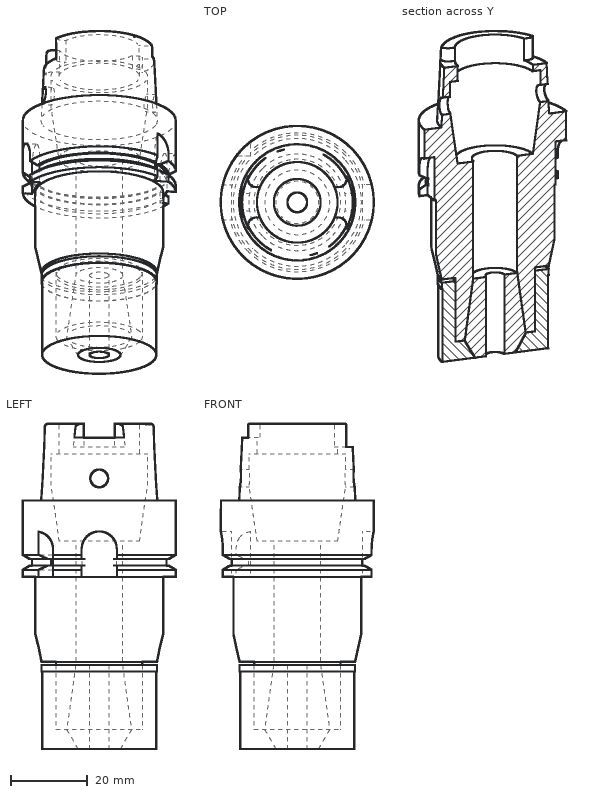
import cadquery as cq
import math


total_length = 85.0
flange_height = 20.0
shank_height = 20.1
flange_diameter = 40.0
flange_radius = flange_diameter / 2

shank_base_radius = 15.2
shank_tip_radius = shank_base_radius - shank_height / 20
tip_round = 0.85

flange_top = total_length - shank_height
flange_bottom = flange_top - flange_height

groove_floor_radius = 17.6
groove_cone_radius = 18.2
groove_floor_top = 49.6
groove_floor_bottom = 47.9
groove_cone_height = 1.1

body_radius = 16.75
body_bottom = 30.0
cone_end_radius = 15.1
cone_end = 22.8
neck_radius = 11.3
neck_bottom = 5.1

mouth_radius = 10.5
chamber_radius = 12.7
chamber_top = 77.1
chamber_bottom = 69.0
cavity_floor = 54.4

cross_hole_radius = 2.3
cross_hole_height = 70.7

notch_half_width = 4.0
notch_corner_radius = 1.95
notch_shoulder = 12.8
left_notch_depth = 3.65
right_notch_depth = 6.0

keyway_top = 56.9
left_key_half_width = 4.6
left_key_floor = 17.2
right_key_half_width = 4.7
right_key_floor = 17.0
index_key_half_width = left_key_half_width
index_key_floor = 12.2
index_key_side = 12.1

nut_radius = 15.0
collar_radius = 15.1
collar_bottom = 20.2
nut_top = 22.0

collet_bore_radius = 2.55
collet_tip_radius = 6.1
collet_max_radius = 8.5
collet_half_angle = 8.0
collet_nose_angle = 30.0
collet_nose_radius = collet_max_radius - neck_bottom * math.tan(math.radians(collet_nose_angle))
collet_taper_length = (collet_max_radius - collet_tip_radius) / math.tan(math.radians(collet_half_angle))
collet_top = neck_bottom + collet_taper_length


def revolve_profile(points):
    """Turn a closed (radius, z) outline once around the Z axis."""
    return cq.Workplane("XZ").polyline(points).close().revolve(360, (0, 0, 0), (0, 1, 0))


def holder_blank():
    """Turned outside of the holder, with the shank tip rounded."""
    blank = revolve_profile([
        (0, neck_bottom),
        (neck_radius, neck_bottom),
        (neck_radius, cone_end),
        (cone_end_radius, cone_end),
        (body_radius, body_bottom),
        (body_radius, flange_bottom),
        (flange_radius, flange_bottom),
        (flange_radius, groove_floor_bottom - groove_cone_height),
        (groove_cone_radius, groove_floor_bottom),
        (groove_floor_radius, groove_floor_bottom),
        (groove_floor_radius, groove_floor_top),
        (groove_cone_radius, groove_floor_top),
        (flange_radius, groove_floor_top + groove_cone_height),
        (flange_radius, flange_top),
        (shank_base_radius, flange_top),
        (shank_tip_radius, total_length),
        (0, total_length),
    ])
    return blank.faces(">Z").edges().fillet(tip_round)


def holder_cavity():
    """Clamping chamber, central bore and collet seat as one turned shape."""
    return revolve_profile([
        (0, neck_bottom),
        (collet_max_radius, neck_bottom),
        (collet_tip_radius, collet_top),
        (collet_tip_radius, cavity_floor),
        (mouth_radius, cavity_floor),
        (chamber_radius, chamber_bottom),
        (chamber_radius, chamber_top),
        (mouth_radius, chamber_top),
        (mouth_radius, total_length),
        (0, total_length),
    ])


def drive_notch(side, depth):
    """Cutter for a tip notch on the +X (side 1) or -X (side -1) side."""
    corner_start = notch_shoulder - notch_corner_radius
    corner_end = notch_half_width + notch_corner_radius
    bulge = notch_corner_radius * math.sqrt(0.5)
    bulge_x = corner_start + bulge
    bulge_y = corner_end - bulge
    outer_x = shank_base_radius
    outer_y = shank_base_radius / 2
    return (
        cq.Workplane("XY", origin=(0, 0, total_length - depth))
        .moveTo(0, -notch_half_width)
        .lineTo(side * corner_start, -notch_half_width)
        .threePointArc((side * bulge_x, -bulge_y), (side * notch_shoulder, -corner_end))
        .lineTo(side * notch_shoulder, -outer_y)
        .lineTo(side * outer_x, -outer_y)
        .lineTo(side * outer_x, outer_y)
        .lineTo(side * notch_shoulder, outer_y)
        .lineTo(side * notch_shoulder, corner_end)
        .threePointArc((side * bulge_x, bulge_y), (side * corner_start, notch_half_width))
        .lineTo(0, notch_half_width)
        .close()
        .extrude(depth)
    )


def keyway(side, floor, half_width, center_y=0.0):
    """Cutter for a round-topped keyway with a flat floor facing the given X side."""
    arc_center = keyway_top - half_width
    return (
        cq.Workplane("YZ", origin=(side * floor, 0, 0))
        .moveTo(center_y - half_width, flange_bottom)
        .lineTo(center_y - half_width, arc_center)
        .threePointArc((center_y, keyway_top), (center_y + half_width, arc_center))
        .lineTo(center_y + half_width, flange_bottom)
        .close()
        .extrude(side * flange_radius)
    )


def cross_hole():
    """Cutter for the hole through both walls of the shank."""
    return (
        cq.Workplane("YZ", origin=(0, 0, cross_hole_height))
        .circle(cross_hole_radius)
        .extrude(flange_radius, both=True)
    )


def make_holder():
    index_key_center = index_key_side + index_key_half_width
    return (
        holder_blank()
        .cut(holder_cavity())
        .cut(drive_notch(-1, left_notch_depth))
        .cut(drive_notch(1, right_notch_depth))
        .cut(cross_hole())
        .cut(keyway(-1, left_key_floor, left_key_half_width))
        .cut(keyway(1, right_key_floor, right_key_half_width))
        .cut(keyway(-1, index_key_floor, index_key_half_width, index_key_center))
    )


def make_nut():
    """Smooth nut with a collar; its bore takes the neck and the collet nose."""
    return revolve_profile([
        (collet_nose_radius, 0),
        (nut_radius, 0),
        (nut_radius, collar_bottom),
        (collar_radius, collar_bottom),
        (collar_radius, nut_top),
        (neck_radius, nut_top),
        (neck_radius, neck_bottom),
        (collet_max_radius, neck_bottom),
    ])


def make_collet():
    """Double-tapered collet with a through bore, flush with the nut face."""
    return revolve_profile([
        (collet_bore_radius, 0),
        (collet_nose_radius, 0),
        (collet_max_radius, neck_bottom),
        (collet_tip_radius, collet_top),
        (collet_bore_radius, collet_top),
    ])


holder = make_holder()
nut = make_nut()
collet = make_collet()

result = cq.Compound.makeCompound([holder.val(), nut.val(), collet.val()])